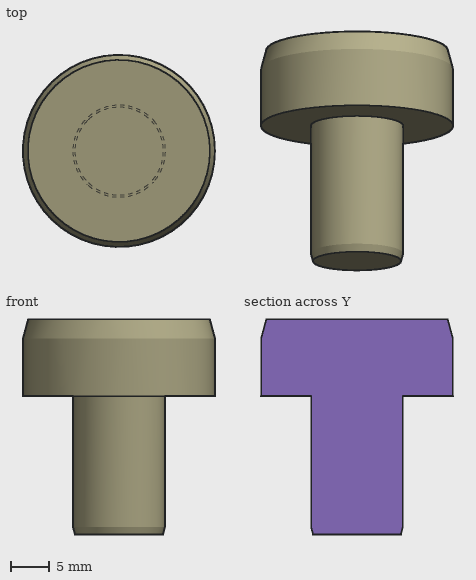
import cadquery as cq
import math

total_height = 28.0
head_diameter = 25.0
head_height = 10.0
head_taper_height = 2.5
shank_diameter = 12.0
shank_taper_height = 1.0
taper_angle = 15.0

head_radius = head_diameter / 2
shank_radius = shank_diameter / 2
head_base_z = total_height - head_height
taper_slope = math.tan(math.radians(taper_angle))
top_radius = head_radius - head_taper_height * taper_slope
tip_radius = shank_radius - shank_taper_height * taper_slope

half_section = (
    cq.Workplane("XZ")
    .moveTo(0, 0)
    .lineTo(tip_radius, 0)
    .lineTo(shank_radius, shank_taper_height)
    .lineTo(shank_radius, head_base_z)
    .lineTo(head_radius, head_base_z)
    .lineTo(head_radius, total_height - head_taper_height)
    .lineTo(top_radius, total_height)
    .lineTo(0, total_height)
    .close()
)

result = half_section.revolve(360, (0, 0, 0), (0, 1, 0))